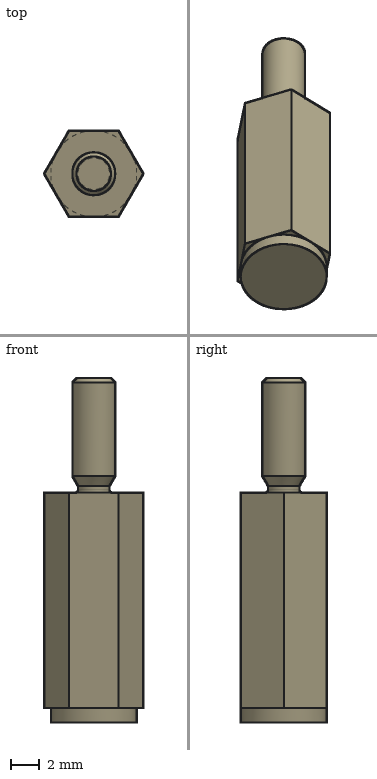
import cadquery as cq
import math

total_height = 24.0
across_flats = 6.0
collar_height = 1.0
shoulder_height = 16.0

stud_radius = 3.0 / 2
tip_radius = 2.4 / 2
tip_chamfer_height = stud_radius - tip_radius

neck_radius = 2.2 / 2
undercut_height = 1.15
undercut_fillet = 0.2
undercut_angle = 30.0

across_corners = across_flats / math.cos(math.pi / 6)


def make_body():
    """Hexagonal body standing on a round collar as wide as its flats."""
    collar = cq.Workplane("XY").circle(across_flats / 2).extrude(collar_height)
    hexagon = (
        cq.Workplane("XY", origin=(0, 0, collar_height))
        .polygon(6, across_corners)
        .extrude(shoulder_height - collar_height)
    )
    return collar.union(hexagon)


def make_stud():
    """Revolved stud with a filleted undercut, conical runout and chamfered tip."""
    runout_top = shoulder_height + undercut_height
    slope = math.radians(undercut_angle)
    runout_height = (stud_radius - neck_radius) / math.tan(slope)
    runout_bottom = runout_top - runout_height
    fillet_top = shoulder_height + undercut_fillet
    fillet_offset = undercut_fillet * (1 - math.sqrt(0.5))
    profile = (
        cq.Workplane("XZ")
        .moveTo(0, shoulder_height)
        .lineTo(neck_radius + undercut_fillet, shoulder_height)
        .threePointArc(
            (neck_radius + fillet_offset, shoulder_height + fillet_offset),
            (neck_radius, fillet_top),
        )
        .lineTo(neck_radius, runout_bottom)
        .lineTo(stud_radius, runout_top)
        .lineTo(stud_radius, total_height - tip_chamfer_height)
        .lineTo(tip_radius, total_height)
        .lineTo(0, total_height)
        .close()
    )
    return profile.revolve(360, (0, 0, 0), (0, 1, 0))


result = make_body().union(make_stud())